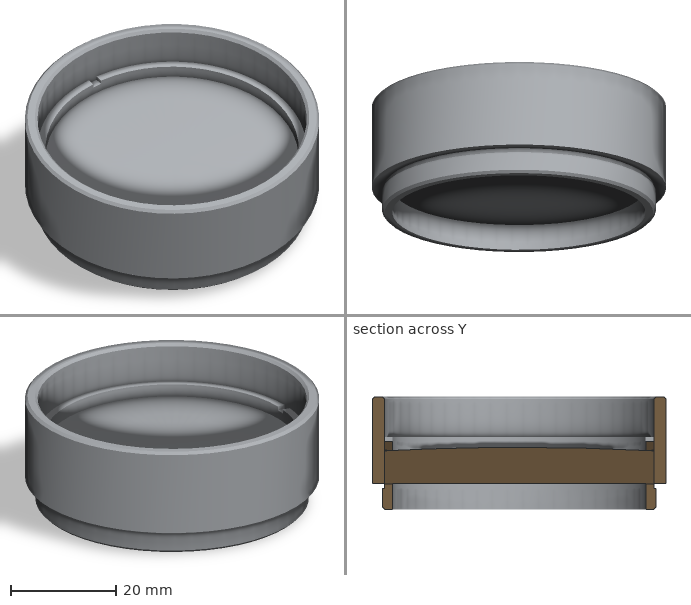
import cadquery as cq
import math

height = 21.5
outer_radius = 28.0
shoulder_z = 4.9
spigot_radius = 26.05
groove_radius = 25.7
groove_width = 0.9
edge_chamfer = 0.5

bore_radius = 25.6
aperture_radius = 24.1
seat_z = shoulder_z

ring_inner_radius = aperture_radius
ring_bottom_z = 11.3
ring_height = 2.45
slot_width = 1.85
slot_depth = 0.8

dome_radius = 504.0


def make_housing():
    groove_bottom_z = shoulder_z - groove_width
    profile = [
        (aperture_radius, 0),
        (spigot_radius - edge_chamfer, 0),
        (spigot_radius, edge_chamfer),
        (spigot_radius, groove_bottom_z),
        (groove_radius, groove_bottom_z),
        (groove_radius, shoulder_z),
        (outer_radius, shoulder_z),
        (outer_radius, height - edge_chamfer),
        (outer_radius - edge_chamfer, height),
        (bore_radius + edge_chamfer, height),
        (bore_radius, height - edge_chamfer),
        (bore_radius, seat_z),
        (aperture_radius, seat_z),
    ]
    return cq.Workplane("XZ").polyline(profile).close().revolve(360, (0, 0), (0, 1))


def dome_z(radius):
    """Height of the dome; it meets the ring's bottom inner edge."""
    center_z = ring_bottom_z - math.sqrt(dome_radius**2 - ring_inner_radius**2)
    return center_z + math.sqrt(dome_radius**2 - radius**2)


def make_lens():
    half_radius = bore_radius / 2
    profile = (
        cq.Workplane("XZ")
        .moveTo(0, seat_z)
        .lineTo(bore_radius, seat_z)
        .lineTo(bore_radius, dome_z(bore_radius))
        .threePointArc((half_radius, dome_z(half_radius)), (0, dome_z(0)))
        .close()
    )
    return profile.revolve(360, (0, 0), (0, 1))


def make_retaining_ring():
    ring = (
        cq.Workplane("XY", origin=(0, 0, ring_bottom_z))
        .circle(bore_radius)
        .circle(ring_inner_radius)
        .extrude(ring_height)
    )
    slot_bar = (
        cq.Workplane("XY", origin=(0, 0, ring_bottom_z + ring_height - slot_depth))
        .rect(2 * outer_radius, slot_width)
        .extrude(slot_depth)
    )
    return ring.cut(slot_bar)


housing = make_housing()
lens = make_lens()
retaining_ring = make_retaining_ring()

result = cq.Compound.makeCompound([housing.val(), lens.val(), retaining_ring.val()])